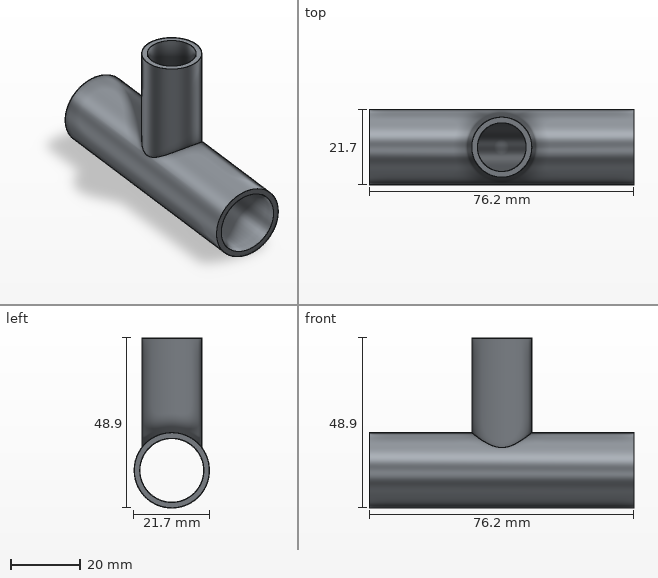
import cadquery as cq

run_length = 76.2
run_outer_diameter = 21.7
run_inner_diameter = 18.4

branch_outer_diameter = 17.3
branch_inner_diameter = 14.0
overall_height = 48.9
branch_top = overall_height - run_outer_diameter / 2


def run_cylinder(diameter):
    """Cylinder along X over the full length of the main pipe."""
    return cq.Workplane("YZ").circle(diameter / 2).extrude(run_length / 2, both=True)


def branch_cylinder(diameter):
    """Cylinder along Z from the main pipe's axis to the branch's open end."""
    return cq.Workplane("XY").circle(diameter / 2).extrude(branch_top)


outer_body = run_cylinder(run_outer_diameter).union(branch_cylinder(branch_outer_diameter))

result = (
    outer_body
    .cut(run_cylinder(run_inner_diameter))
    .cut(branch_cylinder(branch_inner_diameter))
)